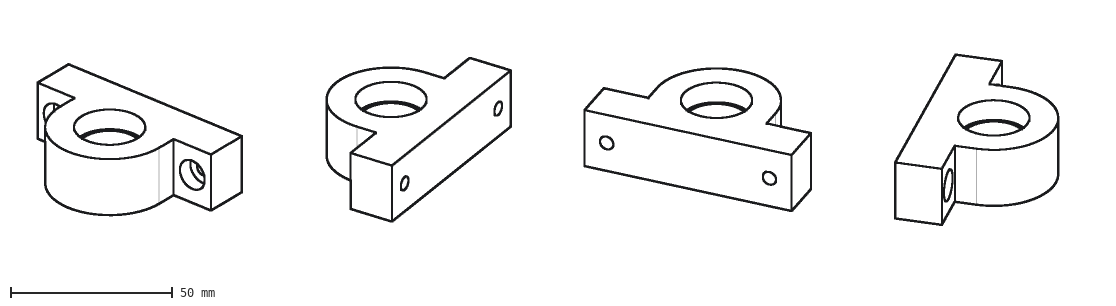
import cadquery as cq

bar_length = 70.0
bar_depth = 15.0
height = 20.0

housing_radius = 20.0
bore_to_back = 22.0

bore_diameter = 20.0
seat_diameter = 22.1
seat_depth = 7.0

bolt_diameter = 4.5
bolt_head_diameter = 10.0
bolt_head_depth = 5.0

bar_front_y = bore_to_back - bar_depth
bolt_x = (bar_length / 2 + housing_radius) / 2


def make_body():
    """Bar and housing as one extruded outline."""
    return (
        cq.Workplane("XY")
        .moveTo(-bar_length / 2, bore_to_back)
        .lineTo(-bar_length / 2, bar_front_y)
        .lineTo(-housing_radius, bar_front_y)
        .lineTo(-housing_radius, 0)
        .threePointArc((0, -housing_radius), (housing_radius, 0))
        .lineTo(housing_radius, bar_front_y)
        .lineTo(bar_length / 2, bar_front_y)
        .lineTo(bar_length / 2, bore_to_back)
        .close()
        .extrude(height)
    )


def cut_bearing_bore(body):
    """Through bore with a wider bearing seat sunk from the top."""
    return (
        body.faces(">Z")
        .workplane(origin=(0, 0, height))
        .cboreHole(bore_diameter, seat_diameter, seat_depth)
    )


def cut_bolt_holes(body):
    """Bolt holes through the bar at mid height, counterbored from the front."""
    front_plane = cq.Plane(origin=(0, bar_front_y, height / 2), xDir=(1, 0, 0), normal=(0, -1, 0))
    hole_centers = [(-bolt_x, 0), (bolt_x, 0)]
    return (
        body.copyWorkplane(cq.Workplane(front_plane))
        .pushPoints(hole_centers)
        .cboreHole(bolt_diameter, bolt_head_diameter, bolt_head_depth, bar_depth)
    )


result = cut_bolt_holes(cut_bearing_bore(make_body()))